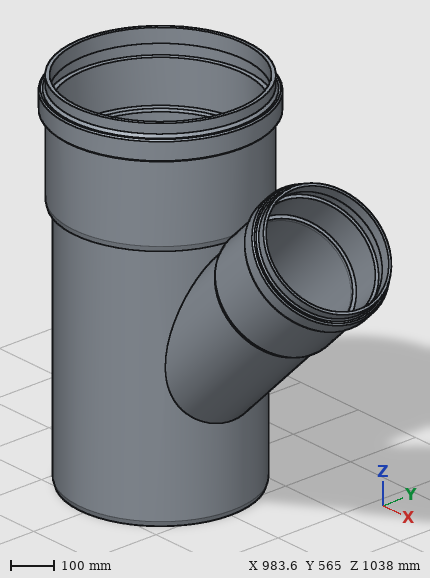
import cadquery as cq

total_height = 1038.0
pipe_diameter = 500.0
bore_diameter = 467.0
spigot_chamfer_height = 15.0
spigot_chamfer_width = 4.0

branch_pipe_diameter = 315.0
branch_bore_diameter = 296.0
branch_angle = 45.0
branch_start_height = 215.0
branch_length = 824.0

MAIN_SOCKET = {
    "outer_diameter": 534.0,
    "inner_diameter": 507.0,
    "stop_diameter": 473.0,
    "end_depth": 75.0,
    "stop_depth": 197.0,
    "taper_depth": 313.0,
    "shoulder_depth": 328.0,
    "cap_diameter": 565.0,
    "cap_cone_diameter": 546.0,
    "cap_bore_diameter": 535.0,
    "cap_mouth_diameter": 513.0,
    "cap_rim_depth": 27.0,
    "cap_top_depth": 35.0,
    "cap_lip_depth": 40.0,
    "cap_bottom_depth": 92.0,
}
BRANCH_SOCKET = {
    "outer_diameter": 335.0,
    "inner_diameter": 318.0,
    "stop_diameter": 298.0,
    "end_depth": 63.0,
    "stop_depth": 157.0,
    "taper_depth": 238.0,
    "shoulder_depth": 247.0,
    "cap_diameter": 361.0,
    "cap_cone_diameter": 344.0,
    "cap_bore_diameter": 336.0,
    "cap_mouth_diameter": 321.0,
    "cap_rim_depth": 23.0,
    "cap_top_depth": 28.0,
    "cap_lip_depth": 32.0,
    "cap_bottom_depth": 73.0,
}
cap_chamfer = 4.0
shoulder_inset = 3.0
lead_in_height = 7.0


def revolve(profile):
    """Solid of revolution about Z from (radius, height) points."""
    return cq.Workplane("XZ").polyline(profile).close().revolve(360, (0, 0), (0, 1))


def socket_outside(socket, mouth_height):
    """Solid outer shape of a socket that opens towards +Z."""
    outer = socket["outer_diameter"] / 2
    shoulder = mouth_height - socket["shoulder_depth"]
    end = mouth_height - socket["end_depth"]
    return revolve([
        (0, shoulder),
        (outer - shoulder_inset, shoulder),
        (outer, mouth_height - socket["taper_depth"]),
        (outer, end),
        (0, end),
    ])


def socket_inside(socket, bore, mouth_height):
    """Stepped bore of a pipe and its socket, from height 0 to the open end."""
    inner = socket["inner_diameter"] / 2
    stop = mouth_height - socket["stop_depth"]
    end = mouth_height - socket["end_depth"]
    return revolve([
        (0, 0),
        (bore / 2, 0),
        (bore / 2, stop - lead_in_height),
        (socket["stop_diameter"] / 2, stop),
        (inner, stop),
        (inner, end),
        (0, end),
    ])


def retaining_cap(socket, mouth_height):
    """Cap whose skirt surrounds the socket end and whose lip stands clear above it."""
    rim = socket["outer_diameter"] / 2
    skirt = socket["cap_diameter"] / 2
    cone = socket["cap_cone_diameter"] / 2
    bore = socket["cap_bore_diameter"] / 2
    mouth = socket["cap_mouth_diameter"] / 2
    bottom = mouth_height - socket["cap_bottom_depth"]
    top = mouth_height - socket["cap_top_depth"]
    lip = mouth_height - socket["cap_lip_depth"]
    return revolve([
        (bore, bottom),
        (skirt - cap_chamfer, bottom),
        (skirt, bottom + cap_chamfer),
        (skirt, top - cap_chamfer),
        (skirt - cap_chamfer, top),
        (cone, top),
        (rim, mouth_height - socket["cap_rim_depth"]),
        (rim, mouth_height),
        (mouth, mouth_height),
        (mouth, lip),
        (bore, lip),
    ])


def place_on_branch(shape):
    """Move a shape built along Z onto the branch axis."""
    return shape.rotate((0, 0, 0), (0, 1, 0), branch_angle).translate((0, 0, branch_start_height))


def main_pipe():
    """Solid main pipe with a chamfered spigot at the bottom."""
    radius = pipe_diameter / 2
    top = total_height - MAIN_SOCKET["shoulder_depth"]
    return revolve([
        (0, 0),
        (radius - spigot_chamfer_width, 0),
        (radius, spigot_chamfer_height),
        (radius, top),
        (0, top),
    ])


def branch_pipe():
    """Solid branch pipe from the main axis to the branch socket."""
    length = branch_length - BRANCH_SOCKET["shoulder_depth"]
    return cq.Workplane("XY").circle(branch_pipe_diameter / 2).extrude(length)


branch_outside = branch_pipe().union(socket_outside(BRANCH_SOCKET, branch_length))
main_inside = socket_inside(MAIN_SOCKET, bore_diameter, total_height)
branch_inside = socket_inside(BRANCH_SOCKET, branch_bore_diameter, branch_length)
fitting = (
    main_pipe()
    .union(socket_outside(MAIN_SOCKET, total_height))
    .union(place_on_branch(branch_outside))
    .cut(main_inside)
    .cut(place_on_branch(branch_inside))
)

main_cap = retaining_cap(MAIN_SOCKET, total_height)
branch_cap = place_on_branch(retaining_cap(BRANCH_SOCKET, branch_length))

result = cq.Compound.makeCompound([fitting.solids().val(), main_cap.val(), branch_cap.val()])